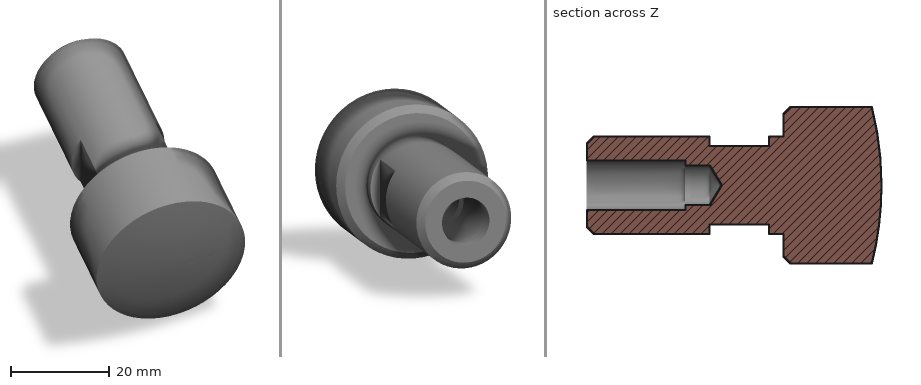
import cadquery as cq
import math

total_length = 60.0
chamfer = 1.5

shank_radius = 10.0
shank_length = 40.0

head_radius = 16.0
dome_height = 2.0
dome_start = total_length - dome_height

flat_start = 25.0
flat_length = 12.0
across_flats = 16.0

bore_radius = 5.0
bore_depth = 20.0
pilot_radius = 4.0
pilot_depth = 25.0
drill_point_angle = 118.0


def revolve_about_x(profile):
    """Turn a closed profile, drawn as (X, radius), around the X axis."""
    return profile.close().revolve(360, (0, 0, 0), (1, 0, 0))


def make_body():
    """Chamfered shank and head, closed by a shallow spherical dome."""
    dome_radius = (head_radius**2 + dome_height**2) / (2 * dome_height)
    dome_center = total_length - dome_radius
    half_angle = math.asin(head_radius / dome_radius) / 2
    dome_middle = (
        dome_center + dome_radius * math.cos(half_angle),
        dome_radius * math.sin(half_angle),
    )
    profile = (
        cq.Workplane("XY")
        .moveTo(0, 0)
        .lineTo(0, shank_radius - chamfer)
        .lineTo(chamfer, shank_radius)
        .lineTo(shank_length, shank_radius)
        .lineTo(shank_length, head_radius - chamfer)
        .lineTo(shank_length + chamfer, head_radius)
        .lineTo(dome_start, head_radius)
        .threePointArc(dome_middle, (total_length, 0))
    )
    return revolve_about_x(profile)


def make_hole():
    """Bore, flat step, narrower pilot and conical drill point."""
    point_depth = pilot_radius / math.tan(math.radians(drill_point_angle / 2))
    profile = (
        cq.Workplane("XY")
        .moveTo(0, 0)
        .lineTo(0, bore_radius)
        .lineTo(bore_depth, bore_radius)
        .lineTo(bore_depth, pilot_radius)
        .lineTo(pilot_depth, pilot_radius)
        .lineTo(pilot_depth + point_depth, 0)
    )
    return revolve_about_x(profile)


def make_flat_cutter(side):
    """Block that mills one wrench flat on the +Y (1) or -Y (-1) side."""
    cut_depth = shank_radius - across_flats / 2
    return cq.Workplane("XY").box(flat_length, cut_depth, 2 * shank_radius).translate(
        (flat_start + flat_length / 2, side * (across_flats + cut_depth) / 2, 0)
    )


result = make_body().cut(make_hole())
for side in (1, -1):
    result = result.cut(make_flat_cutter(side))